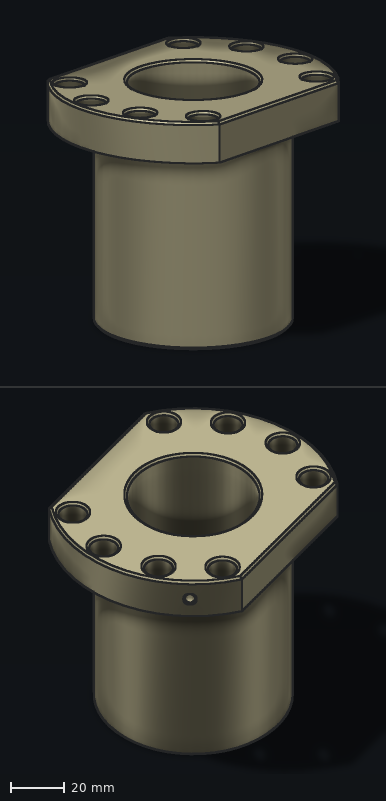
import cadquery as cq
import math

flange_diameter = 109.6
flange_width = 85.0
flange_thickness = 16.0
body_diameter = 75.0
total_height = 95.0
bore_diameter = 50.0
edge_chamfer = 1.0

hole_diameter = 11
hole_circle_radius = 46.6
hole_angles = [45, 75, 105, 135]

port_diameter = 4.0
port_mouth_diameter = 5.2
port_depth = 11
port_angle = 120


def make_flange():
    """Round flange with two flats and a chamfered top edge."""
    disc = cq.Workplane("XY").circle(flange_diameter / 2).extrude(-flange_thickness)
    band = cq.Workplane("XY").rect(flange_width, flange_diameter).extrude(-flange_thickness)
    return disc.intersect(band).faces(">Z").edges().chamfer(edge_chamfer)


def make_body():
    """Cylindrical nut body with a chamfered lower end."""
    body = cq.Workplane("XY").circle(body_diameter / 2).extrude(-total_height)
    return body.faces("<Z").edges().chamfer(edge_chamfer)


def hole_cutter(diameter, depth, mouth_chamfer):
    """Drill from Z = 0 downwards with a conical mouth at the top."""
    radius = diameter / 2
    profile = [
        (0, 0),
        (radius + mouth_chamfer, 0),
        (radius, -mouth_chamfer),
        (radius, -depth),
        (0, -depth),
    ]
    return cq.Workplane("XZ").polyline(profile).close().revolve(360, (0, 0), (0, 1))


def make_port_cutter():
    """Countersunk blind drill running radially inwards from the rim."""
    mouth_chamfer = (port_mouth_diameter - port_diameter) / 2
    rim_radius = flange_diameter / 2
    cutter = hole_cutter(port_diameter, port_depth, mouth_chamfer)
    cutter = cutter.rotate((0, 0, 0), (0, 1, 0), 90)
    cutter = cutter.translate((rim_radius, 0, -flange_thickness / 2))
    return cutter.rotate((0, 0, 0), (0, 0, 1), port_angle)


result = make_flange().union(make_body())
result = result.cut(hole_cutter(bore_diameter, total_height, edge_chamfer))

mounting_hole = hole_cutter(hole_diameter, flange_thickness, edge_chamfer)
for angle in hole_angles:
    x = hole_circle_radius * math.cos(math.radians(angle))
    y = hole_circle_radius * math.sin(math.radians(angle))
    for side in (1, -1):
        result = result.cut(mounting_hole.translate((x, side * y, 0)))

result = result.cut(make_port_cutter())